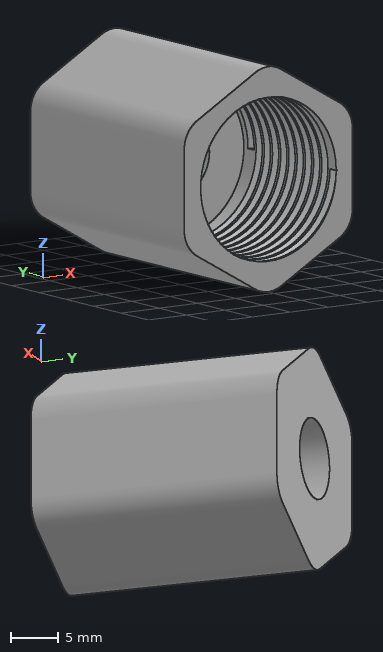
import cadquery as cq
import math

length = 28.1
across_flats = 22.0
corner_radius = 3.37
mouth_y = -length / 2

through_diameter = 8.75
socket_diameter = 17.73
socket_depth = 16.85

thread_turns = 10
thread_length = 15.0
pitch = thread_length / thread_turns
flank_angle = math.radians(30)
crest_width = pitch / 4
root_width = pitch / 8
groove_width = pitch - crest_width
groove_depth = (groove_width - root_width) / 2 / math.tan(flank_angle)
cutter_overlap = 0.08


def hexagon_body():
    across_corners = across_flats / math.cos(math.radians(30))
    return (
        cq.Workplane("XY")
        .polygon(6, across_corners)
        .extrude(length)
        .edges("|Z")
        .fillet(corner_radius)
        .rotate((0, 0, 0), (0, 0, 1), 30)
        .rotate((0, 0, 0), (1, 0, 0), -90)
        .translate((0, mouth_y, 0))
    )


def bore_from_mouth(diameter, depth):
    return (
        cq.Workplane("XZ", origin=(0, mouth_y, 0))
        .circle(diameter / 2)
        .extrude(-depth)
    )


def thread_cutter():
    """Helical groove that starts at +X with its outer lip level with the mouth face."""
    wall = socket_diameter / 2
    base = wall - cutter_overlap
    root = wall + groove_depth
    half_base = groove_width / 2 + cutter_overlap * math.tan(flank_angle)
    half_root = root_width / 2
    path = cq.Wire.makeHelix(pitch, thread_length, wall)
    groove = (
        cq.Workplane("XZ")
        .polyline([(base, -half_base), (root, -half_root), (root, half_root), (base, half_base)])
        .close()
        .sweep(cq.Workplane(path), isFrenet=True)
    )
    return groove.rotate((0, 0, 0), (1, 0, 0), -90).translate((0, mouth_y + groove_width / 2, 0))


result = (
    hexagon_body()
    .cut(bore_from_mouth(through_diameter, length))
    .cut(bore_from_mouth(socket_diameter, socket_depth))
    .cut(thread_cutter())
)